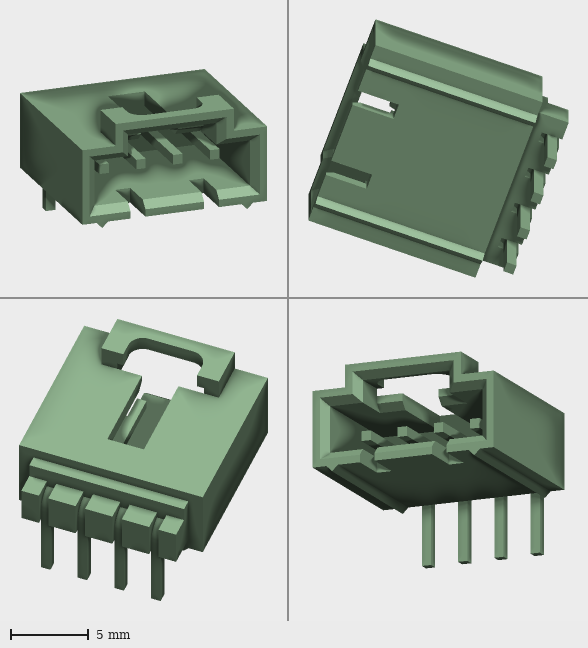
import cadquery as cq
import math


length = 13.59
total_height = 10.29

housing_width = 12.7
housing_height = 5.11
housing_start = 2.15
wall = 1.0
lead_in = wall / 2
cavity_width = housing_width - 2 * wall
cavity_height = housing_height - 2 * wall

slot_start = 4.73
slot_width = 2.53
window_start = 10.79
window_width = 6.09
floor_tongue_width = 4.04

bridge_width = 8.13
bridge_rise = 1.51
bridge_clearance = 0.49
bridge_opening_end = 12.68
bridge_opening_width = 5.11
bridge_corner_radius = 1.0

rib_offset = 4.99
rib_depth = 0.4

insulator_width = 10.71
insulator_bottom = 0.8
insulator_plate_top = 4.35
insulator_plate_start = 1.4
insulator_block_top = 3.33

pin_count = 4
pin_pitch = 2.54
pin_size = 0.65
pin_start = 0.37
pin_end = window_start
pin_top = housing_height / 2 + pin_size / 2
pin_bottom = housing_height + bridge_rise - total_height
bend_radius = 1.26
pin_positions = [(i - (pin_count - 1) / 2) * pin_pitch for i in range(pin_count)]


def block(x0, x1, width, z0, z1):
    """Box centred on Y = 0 between the given X and Z limits."""
    return cq.Workplane("XY", origin=(x0, 0, z0)).box(
        x1 - x0, width, z1 - z0, centered=(False, True, False)
    )


def make_bridge():
    """Solid bridge with a rounded opening through its bar."""
    bridge = block(window_start, length, bridge_width, housing_height, housing_height + bridge_rise)
    opening = block(
        window_start, bridge_opening_end, bridge_opening_width, housing_height, housing_height + bridge_rise
    )
    return bridge.cut(opening.edges("|Z and >X").fillet(bridge_corner_radius))


def mouth_lead_in():
    """45-degree flare of the cavity and roof window where they meet the +X face."""

    def flare(width, z0, z1):
        centre = (z0 + z1) / 2
        return (
            cq.Workplane("YZ", origin=(length - lead_in, 0, centre))
            .rect(width, z1 - z0)
            .workplane(offset=lead_in)
            .rect(width + 2 * lead_in, z1 - z0 + 2 * lead_in)
            .loft(ruled=True)
        )

    cavity_flare = flare(cavity_width, wall, wall + cavity_height)
    window_flare = flare(window_width, wall, housing_height + bridge_clearance)
    return cavity_flare.union(window_flare)


def make_housing():
    """Shroud with its cavity, latch slot, bridge, windows and underside ribs."""
    housing = block(housing_start, length, housing_width, 0, housing_height).union(make_bridge())

    cavity = block(slot_start, length, cavity_width, wall, wall + cavity_height)
    latch_slot = block(slot_start, window_start, slot_width, wall, housing_height)
    roof_window = block(window_start, length, window_width, wall, housing_height + bridge_clearance)
    floor_window = block(window_start, length, window_width, 0, wall).cut(
        block(window_start, length, floor_tongue_width, 0, wall)
    )

    roof_underside = housing_height - wall
    roof_ramp = (
        cq.Workplane("XZ")
        .moveTo(window_start - lead_in, roof_underside)
        .lineTo(window_start, roof_underside)
        .lineTo(window_start, roof_underside + lead_in)
        .close()
        .extrude(window_width / 2, both=True)
    )

    for cutter in (cavity, latch_slot, roof_window, floor_window, roof_ramp, mouth_lead_in()):
        housing = housing.cut(cutter)

    for y in (-rib_offset, rib_offset):
        rib = (
            cq.Workplane("YZ", origin=(housing_start, y, 0))
            .polyline([(-rib_depth, 0), (0, -rib_depth), (rib_depth, 0)])
            .close()
            .extrude(length - housing_start)
        )
        housing = housing.union(rib)
    return housing


def make_insulator():
    """Back plate with a comb of blocks between the pins."""
    plate = block(insulator_plate_start, slot_start, insulator_width, insulator_bottom, insulator_plate_top)
    comb = block(0, insulator_plate_start, insulator_width, insulator_bottom, insulator_block_top)
    gap = block(0, insulator_plate_start, pin_size, insulator_bottom, insulator_block_top)
    for y in pin_positions:
        comb = comb.cut(gap.translate((0, y, 0)))
    return plate.union(comb)


def make_pin():
    """Square pin bent from the mating direction down to the solder tail."""
    inner_radius = bend_radius - pin_size
    bend_x = pin_start + bend_radius
    bend_z = pin_top - bend_radius
    diagonal = math.sqrt(0.5)
    return (
        cq.Workplane("XZ")
        .moveTo(pin_start, pin_bottom)
        .lineTo(pin_start, bend_z)
        .threePointArc((bend_x - bend_radius * diagonal, bend_z + bend_radius * diagonal), (bend_x, pin_top))
        .lineTo(pin_end, pin_top)
        .lineTo(pin_end, pin_top - pin_size)
        .lineTo(bend_x, pin_top - pin_size)
        .threePointArc(
            (bend_x - inner_radius * diagonal, bend_z + inner_radius * diagonal),
            (pin_start + pin_size, bend_z),
        )
        .lineTo(pin_start + pin_size, pin_bottom)
        .close()
        .extrude(pin_size / 2, both=True)
    )


result = make_housing().union(make_insulator())
for pin_y in pin_positions:
    result = result.union(make_pin().translate((0, pin_y, 0)))